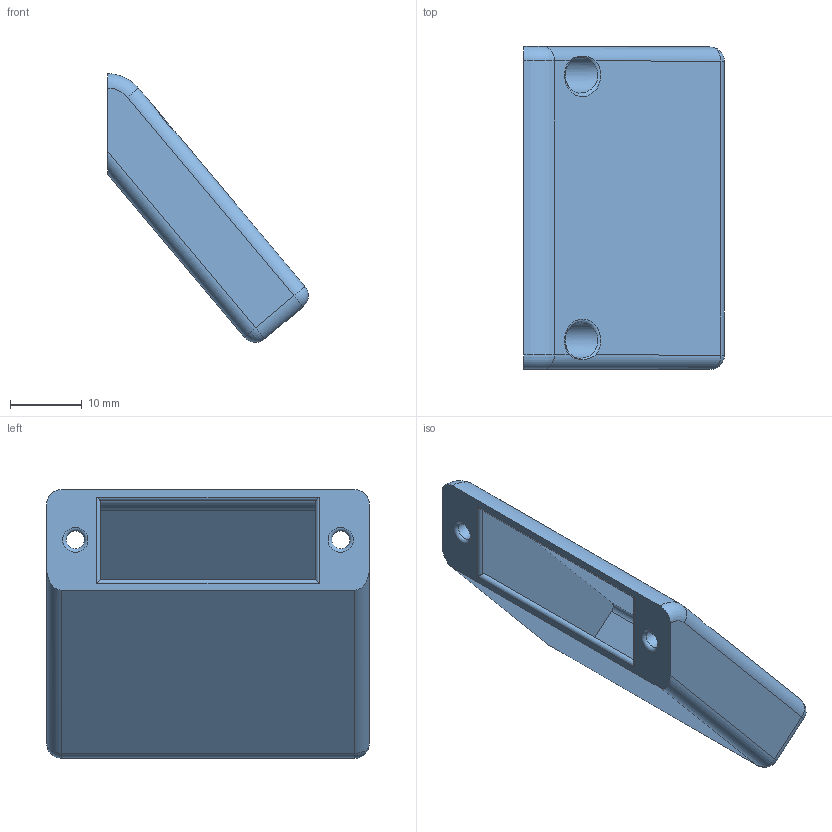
import cadquery as cq
import math

width = 45.0
face_height = 14.0
plate_thickness = 11.0
plate_length = 31.7
slope_angle = math.radians(50)
edge_radius = 2.0

cavity_width = 30.0
wall = 1.5
cavity_end_radius = 1.0

hole_spacing = 37.0
hole_height = face_height / 2
hole_diameter = 2.5
bore_diameter = 5.0
bore_floor = 3.0

rim_radius = 0.5

sin_slope = math.sin(slope_angle)
cos_slope = math.cos(slope_angle)
top_normal = cq.Vector(sin_slope, 0, cos_slope)

crown_radius = (plate_thickness - face_height * cos_slope) / (1 - cos_slope)
crown_centre = face_height - crown_radius


def slope_point(along, above):
    """XZ point at a distance along the underside and a distance square to it."""
    x = along * cos_slope + above * sin_slope
    z = -along * sin_slope + above * cos_slope
    return (x, z)


def crown_point(radius, angle):
    """XZ point on an arc about the crown centre, with the angle measured from vertical."""
    return (radius * math.sin(angle), crown_centre + radius * math.cos(angle))


def make_plate(inset, plate_width):
    """Sharp-edged plate, with its outline moved inward everywhere but at the mounting face."""
    radius = crown_radius - inset
    return (
        cq.Workplane("XZ")
        .moveTo(0, inset / cos_slope)
        .lineTo(*crown_point(radius, 0))
        .threePointArc(crown_point(radius, slope_angle / 2), crown_point(radius, slope_angle))
        .lineTo(*slope_point(plate_length - inset, plate_thickness - inset))
        .lineTo(*slope_point(plate_length - inset, inset))
        .close()
        .extrude(plate_width / 2, both=True)
    )


def make_cavity():
    """Pocket that follows the plate, rounded where its ceiling meets its end wall."""
    return make_plate(wall, cavity_width).edges(">X").fillet(cavity_end_radius)


def make_screw_cutter(y):
    """Screw hole along X that widens into its bore; both run out past the sloping top."""
    reach = plate_length
    face = cq.Workplane("YZ").center(y, hole_height)
    hole = face.circle(hole_diameter / 2).extrude(reach)
    bore = face.workplane(offset=bore_floor).circle(bore_diameter / 2).extrude(reach)
    return hole.union(bore)


def round_opening_rims(body, face_selector):
    """Round the rim of every opening in the selected flat face."""
    openings = body.faces(face_selector).val().innerWires()
    rim_edges = [edge for opening in openings for edge in opening.Edges()]
    return body.newObject(rim_edges).fillet(rim_radius)


def make_drilled_plate():
    """Sharp-edged plate with the cavity and screw holes, all rims rounded."""
    plate = make_plate(0, width).cut(make_cavity())
    for side in (-1, 1):
        plate = plate.cut(make_screw_cutter(side * hole_spacing / 2))
    plate = round_opening_rims(plate, "<X")
    return round_opening_rims(plate, cq.selectors.DirectionMinMaxSelector(top_normal))


def make_rounded_envelope():
    """Solid plate with every edge rounded except the border of the mounting face."""
    return make_plate(0, width).edges("not <X").fillet(edge_radius)


result = make_drilled_plate().intersect(make_rounded_envelope())